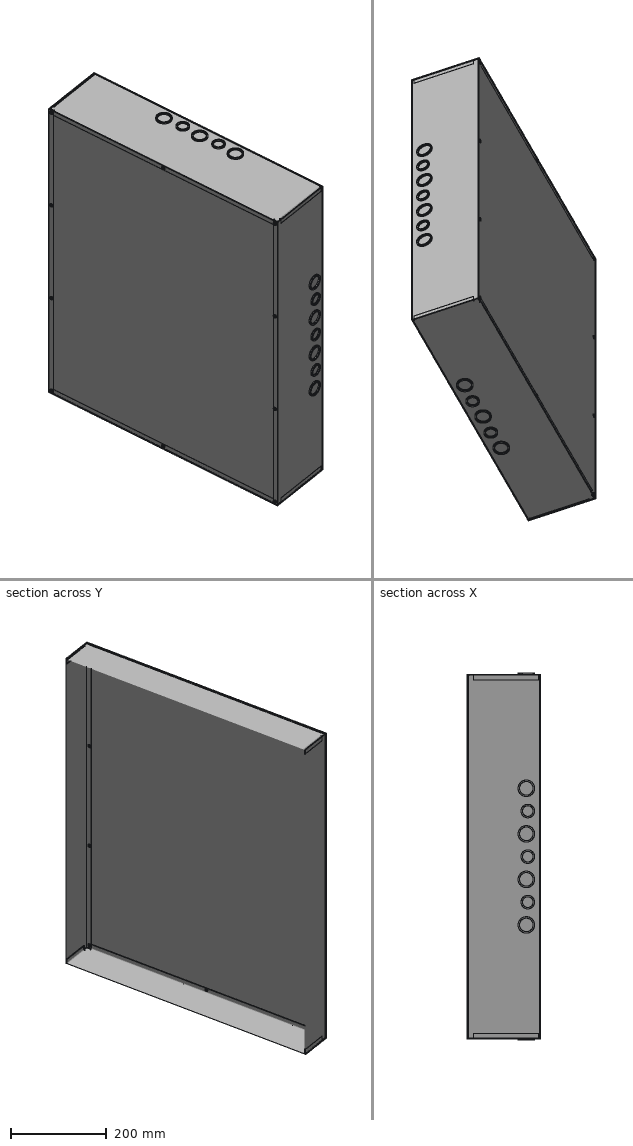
import cadquery as cq

LENGTH_Z = 768.0
WIDTH_X = 616.0
DEPTH_Y = 154.0
SHEET = 1.5
RING_HEIGHT = 3.0

box_x = WIDTH_X - 2 * RING_HEIGHT
box_z = LENGTH_Z - 2 * RING_HEIGHT
half_x = box_x / 2
half_z = box_z / 2
back_y = DEPTH_Y / 2
lid_front_y = -DEPTH_Y / 2
flange_front_y = lid_front_y + SHEET
flange_back_y = flange_front_y + SHEET
inner_x = half_x - SHEET
inner_back_y = back_y - SHEET

FLANGE_WIDTH = 12.0
BEND_INNER_RADIUS = 1.85
TAB_LENGTH = 11.5
TAB_FRONT_GAP = 12.0
TAB_BACK_GAP = 3.0
lip_x = half_x - FLANGE_WIDTH
bend_outer_radius = BEND_INNER_RADIUS + SHEET
wall_z = (half_z - SHEET, half_z)
tab_y = (flange_front_y + TAB_FRONT_GAP, inner_back_y - TAB_BACK_GAP)

LID_HOLE_DIAMETER = 8.0
FLANGE_HOLE_DIAMETER = 4.3
SCREW_INSET = 7.3
screw_x = half_x - SCREW_INSET
screw_z = half_z - SCREW_INSET
side_screw_heights = (-screw_z, -screw_z / 3, screw_z / 3, screw_z)
side_screws = [(x, z) for x in (-screw_x, screw_x) for z in side_screw_heights]
cap_screws = [(0, -screw_z), (0, screw_z)]

KNOCKOUT_PITCH = 48.0
LARGE_RING = (34.5, 28.5)
SMALL_RING = (28.5, 22.0)
RING_BACK_GAP = 12.0
SIDE_KNOCKOUTS = 7
CAP_KNOCKOUTS = 5


def block(x_range, y_range, z_range):
    """Box between two limits on each axis."""
    sizes = [high - low for low, high in (x_range, y_range, z_range)]
    low_corner = (x_range[0], y_range[0], z_range[0])
    return cq.Workplane("XY").box(*sizes, centered=False).translate(low_corner)


def screw_holes(places, diameter):
    """Cutters along Y through the lid or the flanges."""
    plane = cq.Workplane("XZ", origin=(0, lid_front_y, 0))
    return plane.pushPoints(places).circle(diameter / 2).extrude(lid_front_y - flange_back_y)


def knockout_row(count):
    """Raised rings standing on the XY plane, in a row along X, the middle one at X = 0."""
    rings = cq.Workplane("XY")
    for index in range(count):
        outer, inner = SMALL_RING if index % 2 else LARGE_RING
        centre_x = (index - (count - 1) / 2) * KNOCKOUT_PITCH
        centre_y = back_y - RING_BACK_GAP - outer / 2
        ring = cq.Workplane("XY").center(centre_x, centre_y).circle(outer / 2).circle(inner / 2)
        rings = rings.add(ring.extrude(RING_HEIGHT))
    return rings.combine()


def make_wrap():
    """Back wall and both side walls, with flanges turned in along the front edges."""
    outline = [
        (-lip_x, flange_front_y),
        (-half_x, flange_front_y),
        (-half_x, back_y),
        (half_x, back_y),
        (half_x, flange_front_y),
        (lip_x, flange_front_y),
        (lip_x, flange_back_y),
        (inner_x, flange_back_y),
        (inner_x, inner_back_y),
        (-inner_x, inner_back_y),
        (-inner_x, flange_back_y),
        (-lip_x, flange_back_y),
    ]
    wrap = cq.Workplane("XY", origin=(0, 0, -half_z)).polyline(outline).close().extrude(box_z)
    for turn in (-1, 1):
        row = knockout_row(SIDE_KNOCKOUTS).translate((0, 0, half_x))
        wrap = wrap.union(row.rotate((0, 0, 0), (0, 1, 0), turn * 90))
    return wrap.cut(screw_holes(side_screws, FLANGE_HOLE_DIAMETER))


def make_flanged_wall():
    """Top wall and its front flange: an L section bent along X, running between the side flanges."""
    bend = "|X and >Z and <Y"
    outside = block((-lip_x, lip_x), (flange_front_y, inner_back_y), (half_z - FLANGE_WIDTH, half_z))
    inside = block((-lip_x, lip_x), (flange_back_y, inner_back_y), (half_z - FLANGE_WIDTH, wall_z[0]))
    return outside.edges(bend).fillet(bend_outer_radius).cut(inside.edges(bend).fillet(BEND_INNER_RADIUS))


def make_tab_channel():
    """Weld tabs against the side walls and the wall joining them: a channel bent along Y."""
    bends = "|Y and >Z"
    tab_inner_x = inner_x - SHEET
    outside = block((-inner_x, inner_x), tab_y, (half_z - TAB_LENGTH, half_z))
    inside = block((-tab_inner_x, tab_inner_x), tab_y, (half_z - TAB_LENGTH, wall_z[0]))
    return outside.edges(bends).fillet(bend_outer_radius).cut(inside.edges(bends).fillet(BEND_INNER_RADIUS))


def make_top_cap():
    """Top wall between the side walls, with a front flange, two weld tabs and knockout rings."""
    cap = make_flanged_wall().union(make_tab_channel())
    for x_range in ((-inner_x, -lip_x), (lip_x, inner_x)):
        for y_range in ((flange_back_y, tab_y[0]), (tab_y[1], inner_back_y)):
            cap = cap.union(block(x_range, y_range, wall_z))
    cap = cap.union(knockout_row(CAP_KNOCKOUTS).translate((0, 0, half_z)))
    return cap.cut(screw_holes(cap_screws, FLANGE_HOLE_DIAMETER))


def make_lid():
    """Flat front plate with its screw holes."""
    lid = block((-half_x, half_x), (lid_front_y, flange_front_y), (-half_z, half_z))
    return lid.cut(screw_holes(side_screws + cap_screws, LID_HOLE_DIAMETER))


wrap = make_wrap()
top_cap = make_top_cap()
bottom_cap = top_cap.mirror("XY")
lid = make_lid()

result = cq.Compound.makeCompound([wrap.val(), top_cap.val(), bottom_cap.val(), lid.val()])